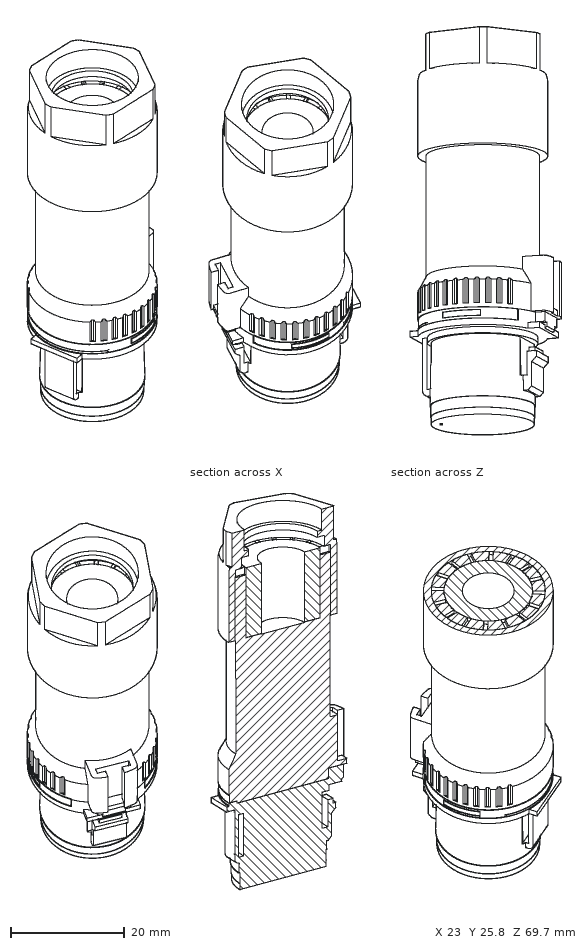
import cadquery as cq
TIP_Z = 0.2
NOSE_Z = 1.45
SLEEVE_Z = 3.5
COLLAR_Z = 14.8
FLANGE_Z = 15.9
JOINT_Z = 17.1
GRIP_Z = 19.1
GRIP_TOP_Z = 24.1
TUBE_Z = 26.75
NUT_Z = 48.65
SEAL_TOP_Z = 62.3
HEX_Z = 63.15
LIP_Z = 64.4
LEDGE_Z = 65.65
TOP_Z = 69.7

OUTER_R = 11.5
JOINT_R = 11.35
TUBE_R = 10.05
COLLAR_R = 9.75
SLEEVE_LOW_R = 9.35
SLEEVE_TOP_R = 9.1
NOSE_R = 9.2
TIP_R = 9.1
SEAL_R = 7.9
CABLE_R = 4.5

CUT_MARGIN = 0.7

HEX_FLATS = 20.2
HEX_CORNER_R = 11.3
HEX_TURN = 50.6
NUT_BEVEL_H = 0.85
NUT_MOUTH_R = 8.15
NUT_LIP_R = 7.25
NUT_CAVITY_R = 8.7

FINGER_COUNT = 16
FINGER_GAP = 0.7
FINGER_GAP_DEPTH = 1.4

GROOVE_PITCH = 10.0
GROOVE_COUNT = 11
GROOVE_START = -55.0
GROOVE_FLOOR_R = 11.3
GROOVE_FLOOR_W = 0.35
GROOVE_MOUTH_W = 1.05
GROOVE_Z = 19.85

PAD_HALF_W = 3.55
PAD_Z = 17.55
PAD_TOP_Z = 18.6

TAB_HALF_W = 6.8
TAB_INNER_R = 9.75
RIM_HALF_W = 8.5
RIM_R = 11.4
RIM_TOP_Z = 17.5

RAIL_TOP_Z = 29.05
RAIL_R = 14.0
RAIL_HALF_W = 4.25
RAIL_CORNER_R = 0.9
RAIL_LIP_HALF_W = 1.5
RAIL_SLOT_HALF_W = 3.1
RAIL_SLOT_Y = 11.6
RAIL_LIP_Y = 12.55
RAIL_FLOOR_Y = 13.5
RAIL_FLOOR_T = 1.05

LUG_HALF_W = 4.95
LUG_TOP_Z = 16.95
LUG_FRONT_Y = -11.9
LUG_BACK_Y = 12.5
FOOT_HALF_W = 3.1
FOOT_Y = 12.8
FOOT_Z = 17.35
TOE_HALF_W = 2.1
TOE_Z = 16.3
TOE_CHAMFER = 0.35
LATCH_W = 6.1
POCKET_W = 7.25
POCKET_Y = 8.35
FRONT_POCKET_Z = 6.6
BACK_POCKET_Z = 7.9
FRONT_ARM_IN = 9.35
FRONT_ARM_OUT = 10.25
FRONT_ARM_Z = 5.4
FRONT_BEND_R = 1.1
BACK_ARM_IN = 9.5
BACK_ARM_OUT = 10.3
BACK_ARM_Z = 5.15
BACK_BEND = 0.7
HOOK_OUT = 11.2
HOOK_RAMP_Z = 10.25
HOOK_Z = 11.15
HOOK_TOP_Z = 12.2
LEVER_OUT = 10.6
LEVER_HALF_W = 2.1
LEVER_TOP_Z = 13.1
PIP_X = 3.2
PIP_Y = -6.6
PIP_R = 0.2


def disc(radius, z_low, z_high):
    """Cylinder on the main axis between two heights."""
    return cq.Workplane("XY").workplane(offset=z_low).circle(radius).extrude(z_high - z_low)


def block(x_half, y_low, y_high, z_low, z_high):
    """Box centred on X, given by its limits along Y and Z."""
    size = (2 * x_half, y_high - y_low, z_high - z_low)
    return cq.Workplane("XY").box(*size, centered=(True, False, False)).translate((0, y_low, z_low))


def cone(low_r, high_r, z_low, z_high):
    """Truncated cone on the main axis."""
    outline = [(0, z_low), (low_r, z_low), (high_r, z_high), (0, z_high)]
    return cq.Workplane("XZ").polyline(outline).close().revolve(360, (0, 0), (0, 1))


def side_profile(points, width):
    """Plate with an outline of (y, z) points, extruded along X and centred on it."""
    return cq.Workplane("YZ").polyline(points).close().extrude(width / 2, both=True)


def key_tab():
    """Curved tab at the back of the plug that fills a notch in the body band."""
    ring = disc(OUTER_R, JOINT_Z, GRIP_Z).cut(disc(TAB_INNER_R, JOINT_Z, GRIP_Z))
    return ring.intersect(block(TAB_HALF_W, 0, OUTER_R, JOINT_Z, GRIP_Z))


def front_rim():
    """Low raised rim on the front of the plug flange."""
    ring = disc(RIM_R, JOINT_Z, RIM_TOP_Z).cut(disc(TAB_INNER_R, JOINT_Z, RIM_TOP_Z))
    return ring.intersect(block(RIM_HALF_W, -RIM_R, 0, JOINT_Z, RIM_TOP_Z))


def make_nut():
    bevel_z = HEX_Z - NUT_BEVEL_H
    sleeve = disc(OUTER_R, NUT_Z, bevel_z).union(cone(OUTER_R, HEX_CORNER_R, bevel_z, HEX_Z))
    hexagon = (
        cq.Workplane("XY").workplane(offset=HEX_Z)
        .polygon(6, HEX_FLATS, circumscribed=True)
        .extrude(TOP_Z - HEX_Z)
        .rotate((0, 0, 0), (0, 0, 1), HEX_TURN)
        .intersect(disc(HEX_CORNER_R, HEX_Z, TOP_Z))
    )
    nut = sleeve.union(hexagon)
    nut = nut.cut(disc(TUBE_R, NUT_Z, SEAL_TOP_Z))
    nut = nut.cut(disc(NUT_CAVITY_R, SEAL_TOP_Z, LIP_Z))
    nut = nut.cut(disc(NUT_LIP_R, LIP_Z, LEDGE_Z))
    return nut.cut(disc(NUT_MOUTH_R, LEDGE_Z, TOP_Z))


def make_seal():
    return disc(SEAL_R, NUT_Z, SEAL_TOP_Z).cut(disc(CABLE_R, NUT_Z, SEAL_TOP_Z))


def finger_gaps():
    """Radial gaps that divide the top of the body tube into clamping fingers."""
    gap_z = SEAL_TOP_Z - FINGER_GAP_DEPTH
    gap = block(FINGER_GAP / 2, SEAL_R - CUT_MARGIN, TUBE_R + CUT_MARGIN, gap_z, SEAL_TOP_Z)
    gaps = cq.Workplane("XY")
    for i in range(FINGER_COUNT):
        gaps = gaps.add(gap.rotate((0, 0, 0), (0, 0, 1), i * 360 / FINGER_COUNT))
    return gaps.combine()


def grip_grooves():
    """Two opposite rows of tapered grooves that run out through the cone."""
    floor_half = GROOVE_FLOOR_W / 2
    slope = (GROOVE_MOUTH_W / 2 - floor_half) / (OUTER_R - GROOVE_FLOOR_R)
    far_r = OUTER_R + CUT_MARGIN
    far_half = floor_half + slope * (far_r - GROOVE_FLOOR_R)
    section = [
        (GROOVE_FLOOR_R, -floor_half),
        (far_r, -far_half),
        (far_r, far_half),
        (GROOVE_FLOOR_R, floor_half),
    ]
    groove = (
        cq.Workplane("XY").workplane(offset=GROOVE_Z)
        .polyline(section).close().extrude(TUBE_Z - GROOVE_Z)
    )
    grooves = cq.Workplane("XY")
    for row_angle in (0, 180):
        for i in range(GROOVE_COUNT):
            angle = row_angle + GROOVE_START + i * GROOVE_PITCH
            grooves = grooves.add(groove.rotate((0, 0, 0), (0, 0, 1), angle))
    return grooves.combine()


def side_pads():
    """Raised pads on the -X and +X sides of the body band."""
    strip = cq.Workplane("XY").workplane(offset=PAD_Z).rect(2 * OUTER_R, 2 * PAD_HALF_W)
    return strip.extrude(PAD_TOP_Z - PAD_Z).intersect(disc(OUTER_R, PAD_Z, PAD_TOP_Z))


def rail():
    """Rail with a T-slot, open at its top end."""
    solid = disc(RAIL_R, GRIP_Z, RAIL_TOP_Z).intersect(block(RAIL_HALF_W, 0, RAIL_R, GRIP_Z, RAIL_TOP_Z))
    solid = solid.edges("|Z").edges(">Y").fillet(RAIL_CORNER_R)
    floor_z = GRIP_Z + RAIL_FLOOR_T
    solid = solid.cut(block(RAIL_SLOT_HALF_W, RAIL_SLOT_Y, RAIL_LIP_Y, floor_z, RAIL_TOP_Z))
    solid = solid.cut(block(RAIL_LIP_HALF_W, RAIL_LIP_Y, RAIL_R, floor_z, RAIL_TOP_Z))
    return solid.cut(block(RAIL_LIP_HALF_W, RAIL_FLOOR_Y, RAIL_R, GRIP_Z, floor_z))


def make_body():
    grip = disc(OUTER_R, GRIP_Z, GRIP_TOP_Z).union(cone(OUTER_R, TUBE_R, GRIP_TOP_Z, TUBE_Z))
    body = grip.cut(grip_grooves())
    body = body.union(disc(JOINT_R, JOINT_Z, GRIP_Z)).union(side_pads())
    body = body.union(disc(TUBE_R, TUBE_Z, SEAL_TOP_Z)).union(rail())
    body = body.cut(disc(SEAL_R, NUT_Z, SEAL_TOP_Z)).cut(finger_gaps())
    return body.cut(key_tab()).cut(front_rim())


def front_latch():
    """Strip from the front lug down to a rounded bend joined to the sleeve."""
    outline = [
        (-POCKET_Y, FRONT_ARM_Z),
        (-FRONT_ARM_OUT, FRONT_ARM_Z),
        (-FRONT_ARM_OUT, LUG_TOP_Z),
        (-FRONT_ARM_IN, LUG_TOP_Z),
        (-FRONT_ARM_IN, FRONT_POCKET_Z),
        (-POCKET_Y, FRONT_POCKET_Z),
    ]
    return side_profile(outline, LATCH_W).edges("|X").edges("<Y").edges("<Z").fillet(FRONT_BEND_R)


def back_latch():
    """Free-standing arm with a hook and a release lever."""
    outline = [
        (POCKET_Y, BACK_ARM_Z),
        (BACK_ARM_OUT - BACK_BEND, BACK_ARM_Z),
        (BACK_ARM_OUT, BACK_ARM_Z + BACK_BEND),
        (BACK_ARM_OUT, HOOK_RAMP_Z),
        (HOOK_OUT, HOOK_Z),
        (HOOK_OUT, HOOK_TOP_Z),
        (BACK_ARM_IN, HOOK_TOP_Z),
        (BACK_ARM_IN, BACK_POCKET_Z),
        (POCKET_Y, BACK_POCKET_Z),
    ]
    lever = block(LEVER_HALF_W, BACK_ARM_IN, LEVER_OUT, HOOK_TOP_Z, LEVER_TOP_Z)
    return side_profile(outline, LATCH_W).union(lever)


def key_foot():
    """Block under the rail with a narrower toe that reaches down into the back lug."""
    foot = block(FOOT_HALF_W, TAB_INNER_R, FOOT_Y, FOOT_Z, GRIP_Z)
    toe = block(TOE_HALF_W, TAB_INNER_R, FOOT_Y, TOE_Z, FOOT_Z)
    return foot.union(toe.edges("|X").edges(">Y").edges("<Z").chamfer(TOE_CHAMFER))


def make_plug():
    plug = disc(TIP_R, TIP_Z, NOSE_Z).union(disc(NOSE_R, NOSE_Z, SLEEVE_Z))
    plug = plug.union(cone(SLEEVE_LOW_R, SLEEVE_TOP_R, SLEEVE_Z, COLLAR_Z))
    pocket_half = POCKET_W / 2
    plug = plug.cut(block(pocket_half, -OUTER_R, -POCKET_Y, FRONT_POCKET_Z, COLLAR_Z))
    plug = plug.cut(block(pocket_half, POCKET_Y, OUTER_R, BACK_POCKET_Z, COLLAR_Z))
    plug = plug.union(disc(COLLAR_R, COLLAR_Z, FLANGE_Z)).union(disc(OUTER_R, FLANGE_Z, JOINT_Z))
    plug = plug.union(block(LUG_HALF_W, LUG_FRONT_Y, LUG_BACK_Y, FLANGE_Z, LUG_TOP_Z))
    plug = plug.union(front_latch()).union(back_latch())
    plug = plug.union(key_tab()).union(front_rim()).union(key_foot())
    pip = cq.Workplane("XY").center(PIP_X, PIP_Y).circle(PIP_R).extrude(TIP_Z)
    return plug.union(pip)


nut = make_nut()
seal = make_seal()
body = make_body()
plug = make_plug()

result = cq.Compound.makeCompound([nut.val(), seal.val(), body.val(), plug.val()])